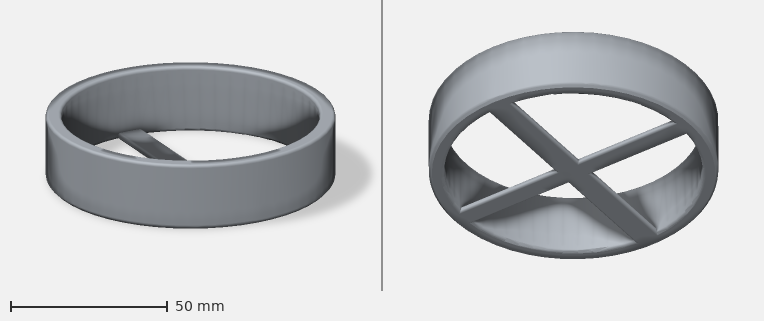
import cadquery as cq

outer_diameter = 92.5
inner_diameter = 82.5
ring_height = 22.0
rim_round = 1.0
foot_chamfer = 1.0
foot_blend = 1.0

x_spoke_width = 8.6
y_spoke_width = 7.0
spoke_height = 2.0
spoke_round = 0.7

spoke_length = (outer_diameter + inner_diameter) / 2


def make_ring():
    """Tube with rounded rims and a chamfered outer foot blended into its side wall."""
    outer_radius = outer_diameter / 2
    body = cq.Workplane("XY").circle(outer_radius).extrude(ring_height)
    body = body.faces("<Z").edges().chamfer(foot_chamfer)
    chamfer_top = cq.selectors.BoxSelector(
        (-outer_diameter, -outer_diameter, foot_chamfer / 2),
        (outer_diameter, outer_diameter, ring_height / 2),
        boundingbox=True,
    )
    body = body.edges(chamfer_top).fillet(foot_blend)
    bore = cq.Workplane("XY").circle(inner_diameter / 2).extrude(ring_height)
    tube = body.cut(bore)
    tube = tube.faces(">Z").edges().fillet(rim_round)
    return tube.faces("<Z").edges(cq.selectors.RadiusNthSelector(0)).fillet(rim_round)


def make_spoke(size_x, size_y, long_edges):
    """Bar centred on the ring axis, with its long edges rounded."""
    bar = cq.Workplane("XY").box(size_x, size_y, spoke_height, centered=(True, True, False))
    return bar.edges(long_edges).fillet(spoke_round)


x_spoke = make_spoke(spoke_length, x_spoke_width, "|X")
y_spoke = make_spoke(y_spoke_width, spoke_length, "|Y")

result = make_ring().union(x_spoke).union(y_spoke)